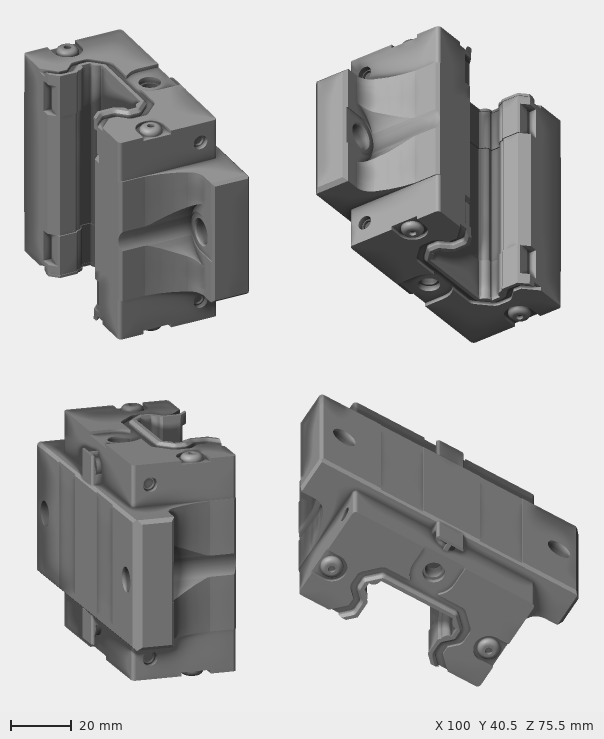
import cadquery as cq


half_width = 50.0
body_half_length = 22.3
height = 40.5
flange_bottom = 26.5
leg_half_width = 35.0
leg_straight_top = 9.3
leg_chamfer = 1.0
plain_edge_chamfer = 1.0
datum_edge_chamfer = 1.3
datum_top_chamfer = 2.5
relief_inner, relief_outer = 10.8, 27.0
relief_depth = 0.3

bolt_x = 41.0
bolt_diameter = 8.6
bolt_chamfer = 0.5
seat_radius = 7.0
seat_depth = 0.4
seat_outer_x = 49.2
tool_clearance_x = 46.6
tool_clearance_radius = 12.1

cap_end = 36.8
cap_half_width = 34.6
cap_height = 36.2
cap_corner_radius = 1.3
recess_depth = 1.3

channel_top = 18.5
lip_x = 13.4
lip_chamfer_top = 2.8
cap_gap = 0.2
body_gap = 0.6

overrun = 5.0

rim_end = 75.5 / 2
rim_chamfer = 0.9
rim_corner_radius = 2.0
band_neck_top = 7.7
band_corner_radius = 3.0

port_y = 29.0
port_diameter = 7.4
port_depth = 2.0
port_bore_diameter = 5.8
port_bore_depth = 6.0
keyhole_radius = 7.9

screw_x, screw_y = 30.0, 14.0
screw_pocket_radius = 5.1
head_diameter = 7.6
head_flat_diameter = 4.3
head_side_height = 0.6
head_shoulder = (3.3, 1.7)
socket_diameter = 2.5
socket_depth = 1.2

plug_y, plug_z = 30.0, 29.7
plug_diameter = 5.0
plug_top_diameter = 4.0
plug_bevel = 0.5
plug_depth = 2.0
plug_socket_diameter = 3.4
plug_socket_depth = 1.0

pocket_end = 33.7
pocket_inner_x, pocket_step_x, pocket_outer_x = 14.0, 18.1, 19.9
pocket_depth = 2.3
pocket_step_depth = 2.7

adapter_half_width = 5.1
adapter_top = 40.1
adapter_plate_bottom = 39.1
adapter_neck_top = 38.0
adapter_end = 32.2
adapter_back_end = 25.6
adapter_post_radius = 3.7
adapter_post_z = 26.7
adapter_rib_width = 1.4
adapter_chamfer = 0.6


def box(x_range, y_range, z_range):
    """Box between the given limits."""
    size = [high - low for low, high in (x_range, y_range, z_range)]
    return cq.Workplane().box(*size, centered=False).translate((x_range[0], y_range[0], z_range[0]))


def prism(sketch, z_low, z_high):
    """Extrude an XY outline between two Z levels."""
    return sketch.extrude(z_high - z_low).translate((0, 0, z_low))


def both_sides(shape):
    return shape.union(shape.mirror("YZ"))


def both_ends(shape):
    return shape.union(shape.mirror("XY"))


def mirrored_outline(half_points):
    """Closed outline from the points of its right half, ordered upward from the bottom."""
    left_half = [(-x, y) for x, y in reversed(half_points)]
    return cq.Workplane().polyline(half_points + left_half).close()


def bevel_foot(x, y):
    """Lower end of a 45 degree bevel that starts at (x, y) and widens downward past the bottom face."""
    return x + y + overrun, -overrun


def round_corners(solid, above, radius):
    """Fillet the Z edges that lie higher than a given Y."""
    return solid.edges("|Z").filter(lambda edge: edge.Center().y > above).fillet(radius)


def channel_outline(gap):
    """Rail channel with two rounded race bumps per side, grown outward by a gap."""
    outline = (
        cq.Workplane()
        .moveTo(0, -overrun)
        .lineTo(*bevel_foot(lip_x, lip_chamfer_top))
        .lineTo(lip_x, lip_chamfer_top)
        .lineTo(lip_x, 9.1)
        .lineTo(14.2, 9.9)
        .threePointArc((14.8, 11.5), (16.0, 12.3))
        .lineTo(16.8, 12.3)
        .lineTo(16.8, 15.7)
        .lineTo(16.0, 15.7)
        .threePointArc((14.8, 16.4), (14.0, 18.2))
        .lineTo(13.7, channel_top)
        .lineTo(0, channel_top)
        .mirrorY()
    )
    return outline.offset2D(gap, "intersection") if gap else outline


def body():
    """Flanged body with concave flanks, before its bolt clearances."""
    profile = (
        cq.Workplane()
        .lineTo(leg_half_width - leg_chamfer, 0)
        .lineTo(leg_half_width, leg_chamfer)
        .lineTo(leg_half_width, leg_straight_top)
        .threePointArc((36.3, 16.5), (38.8, 23.2))
        .threePointArc((40.9, 25.6), (43.8, flange_bottom))
        .lineTo(half_width, flange_bottom)
        .lineTo(half_width, height)
        .lineTo(0, height)
        .mirrorY()
    )
    block = prism(profile, -body_half_length, body_half_length)
    block = block.faces(">X").edges().chamfer(plain_edge_chamfer)
    block = block.faces("<X").edges("not >Y").chamfer(datum_edge_chamfer)
    block = block.faces("<X").edges(">Y").chamfer(datum_top_chamfer)
    block = block.faces(">Y").edges("|X").chamfer(plain_edge_chamfer)
    relief = box(
        (relief_inner, relief_outer), (height - relief_depth, height), (-body_half_length, body_half_length)
    )
    channel = prism(channel_outline(body_gap), -body_half_length, body_half_length)
    return block.cut(both_sides(relief)).cut(channel)


def cylinder_along_y(x, z, radius, y_low, y_high):
    start = cq.Vector(x, y_low, z)
    return cq.Workplane(cq.Solid.makeCylinder(radius, y_high - y_low, start, cq.Vector(0, 1, 0)))


def bolt_cut():
    """Bolt hole in one flange, its seat and the tool clearance beside the leg."""
    seat_top = flange_bottom + seat_depth
    hole = cylinder_along_y(bolt_x, 0, bolt_diameter / 2, 0, height)
    mouth = cq.Workplane(
        cq.Solid.makeCone(
            bolt_diameter / 2 + bolt_chamfer, bolt_diameter / 2, bolt_chamfer,
            cq.Vector(bolt_x, seat_top, 0), cq.Vector(0, 1, 0),
        )
    )
    seat = cylinder_along_y(bolt_x, 0, seat_radius, 0, seat_top)
    seat_side = box((bolt_x, seat_outer_x), (0, seat_top), (-seat_radius, seat_radius))
    clearance = cylinder_along_y(tool_clearance_x, 0, tool_clearance_radius, 0, flange_bottom)
    return hole.union(mouth).union(seat).union(seat_side).union(clearance)


def rim():
    """Seal rim raised from the recess floor, with a beveled outer edge and a narrower channel."""
    half = [
        bevel_foot(15.5, 3.6), (15.5, 3.6), (15.5, 8.2),
        (19.0, 11.7), (19.0, 15.9), (14.2, 20.7),
    ]
    solid = prism(mirrored_outline(half), cap_end - recess_depth, rim_end)
    solid = round_corners(solid, 0, rim_corner_radius)
    solid = solid.faces(">Z").edges("not <Y").chamfer(rim_chamfer)
    solid = solid.cut(box((-half_width, half_width), (-overrun, 0), (0, rim_end)))
    return solid.cut(prism(channel_outline(0), 0, rim_end)).cut(prism(channel_outline(cap_gap), 0, cap_end))


def rim_recess():
    """Recessed band around the rim, joined to the keyhole around the grease port."""
    half = [
        bevel_foot(18.0, 4.7), (18.0, 4.7), (18.0, band_neck_top),
        (21.5, 11.2), (21.5, 17.1), (15.5, 23.1),
    ]
    floor = cap_end - recess_depth
    band = prism(mirrored_outline(half), floor, cap_end)
    band = round_corners(band, band_neck_top, band_corner_radius)
    keyhole = prism(cq.Workplane().center(0, port_y).circle(keyhole_radius), floor, cap_end)
    keyhole_top = box((-keyhole_radius, keyhole_radius), (port_y, cap_height), (floor, cap_end))
    return band.union(keyhole).union(keyhole_top)


def screw_pocket():
    floor = cap_end - recess_depth
    round_end = prism(cq.Workplane().center(screw_x, screw_y).circle(screw_pocket_radius), floor, cap_end)
    open_end = box(
        (screw_x, cap_half_width),
        (screw_y - screw_pocket_radius, screw_y + screw_pocket_radius),
        (floor, cap_end),
    )
    return round_end.union(open_end)


def screw_head():
    """Domed head with a round socket, standing on the pocket floor."""
    floor = cap_end - recess_depth
    head_height = rim_end - floor
    dome = (
        cq.Workplane("XZ")
        .lineTo(head_diameter / 2, 0)
        .lineTo(head_diameter / 2, head_side_height)
        .threePointArc(head_shoulder, (head_flat_diameter / 2, head_height))
        .lineTo(0, head_height)
        .close()
        .revolve(360, (0, 0), (0, 1))
    )
    socket = prism(cq.Workplane().circle(socket_diameter / 2), head_height - socket_depth, head_height)
    return dome.cut(socket).translate((screw_x, screw_y, floor))


def plug_cut():
    """Recess around a sunken plug that has a beveled rim and a round socket, in the side of a cap."""
    inward = cq.Vector(-1, 0, 0)
    plug_top = cq.Vector(cap_half_width - plug_depth + plug_bevel, plug_y, plug_z)
    mouth = cq.Solid.makeCylinder(
        plug_diameter / 2, plug_depth, cq.Vector(cap_half_width, plug_y, plug_z), inward
    )
    plug = cq.Solid.makeCone(plug_top_diameter / 2, plug_diameter / 2, plug_bevel, plug_top, inward)
    socket = cq.Solid.makeCylinder(plug_socket_diameter / 2, plug_socket_depth, plug_top, inward)
    return cq.Workplane(mouth).cut(cq.Workplane(plug)).union(cq.Workplane(socket))


def lip_pocket():
    inner = box((pocket_inner_x, pocket_step_x), (0, pocket_depth), (body_half_length, pocket_end))
    outer = box((pocket_step_x, pocket_outer_x), (0, pocket_step_depth), (body_half_length, pocket_end))
    return inner.union(outer)


def adapter():
    """Lubrication adapter: top plate on a flared post with a front rib."""
    span = (-adapter_half_width, adapter_half_width)
    plate = box(span, (adapter_plate_bottom, adapter_top), (body_half_length, adapter_end))
    plate = plate.faces(">Y").edges("|Z").chamfer(adapter_chamfer)
    back = box(span, (cap_height, adapter_plate_bottom), (body_half_length, adapter_back_end))
    rib = box(
        (-adapter_rib_width / 2, adapter_rib_width / 2),
        (cap_height, adapter_plate_bottom),
        (adapter_back_end, adapter_end),
    )
    post = cylinder_along_y(0, adapter_post_z, adapter_post_radius, cap_height, adapter_neck_top)
    flare = cq.Workplane(
        cq.Solid.makeCone(
            adapter_end - adapter_post_z - (adapter_plate_bottom - adapter_neck_top),
            adapter_end - adapter_post_z,
            adapter_plate_bottom - adapter_neck_top,
            cq.Vector(0, adapter_neck_top, adapter_post_z), cq.Vector(0, 1, 0),
        )
    )
    flare = flare.intersect(box(span, (0, height), (body_half_length, adapter_end)))
    return plate.union(back).union(rib).union(post).union(flare)


def cap():
    """End cap on the +Z end."""
    shell = box((-cap_half_width, cap_half_width), (0, cap_height), (body_half_length, cap_end))
    shell = shell.edges("|Z").fillet(cap_corner_radius)
    shell = shell.cut(prism(channel_outline(cap_gap), body_half_length, cap_end))
    shell = shell.cut(rim_recess()).union(rim())
    port_floor = cap_end - recess_depth - port_depth
    bore_floor = port_floor - port_bore_depth
    port = prism(cq.Workplane().center(0, port_y).circle(port_diameter / 2), port_floor, cap_end)
    bore = prism(cq.Workplane().center(0, port_y).circle(port_bore_diameter / 2), bore_floor, cap_end)
    shell = shell.cut(port).cut(bore)
    for pocket in (screw_pocket(), plug_cut(), lip_pocket()):
        shell = shell.cut(both_sides(pocket))
    return shell.union(both_sides(screw_head())).union(adapter())


result = body().cut(both_sides(bolt_cut())).union(both_ends(cap()))